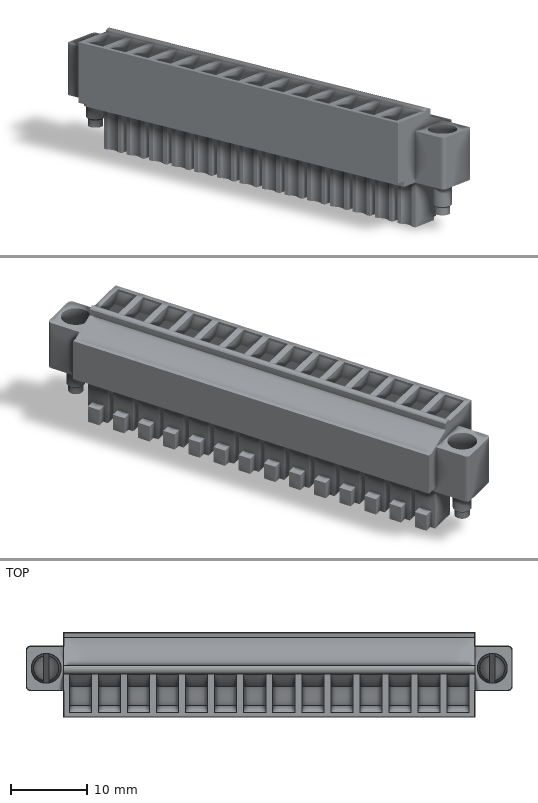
import cadquery as cq

OVERALL_LENGTH = 63.73
POSITIONS = 14
PITCH = 3.81

HOUSING_END_MARGIN = 2.2
HOUSING_DEPTH = 11.1
UNDERSIDE_Z = 6.57
STEP_Z = 7.35
FRONT_STEP_DEPTH = 1.2
FRONT_TOP_Z = 15.7
BACK_TOP_Z = 13.35
BACK_LEDGE_DEPTH = 0.65
SLOPE_TOP_Y = 6.75
SLOPE_TOP_Z = 14.9

OVERALL_HEIGHT = 16.1
BEAD_RADIUS = 0.6
BEAD_Y = 6.25

POCKET_WIDTH = 2.9
POCKET_FRONT_Y = 0.6
POCKET_FLOOR_FRONT_Y = 1.55
POCKET_FLOOR_BACK_Y = 4.05
POCKET_BACK_Y = 5.57
POCKET_DEPTH = 1.85
POCKET_FRONT_RISE = 1.5

SLEEVE_WIDTH = 3.0
SLEEVE_FRONT_Y = 4.45
SLEEVE_BACK_Y = 8.35
GROOVE_WIDTH = 1.75
GROOVE_DEPTH = 0.32
TAB_WIDTH = 1.75
TAB_BACK_Y = 9.55
TAB_BOTTOM_Z = 0.15
TAB_TOP_Z = 2.55

EAR_FRONT_Y = 3.5
EAR_BACK_Y = 9.32
EAR_TOP_Z = 13.7
EAR_CORNER_RADIUS = 0.55

SCREW_OFFSET = 2.6
HEAD_DIAMETER = 3.9
HEAD_CHAMFER = 0.3
HEAD_BOTTOM_Z = 8.1
HEAD_TOP_Z = 10.1
SLOT_WIDTH = 0.75
SLOT_DEPTH = 0.8
SHANK_DIAMETER = 2.5
SHANK_BOTTOM_Z = 3.1
TIP_DIAMETER = 2.0
TIP_BOTTOM_Z = 2.1

ROW_LENGTH = (POSITIONS - 1) * PITCH
HOUSING_LENGTH = ROW_LENGTH + 2 * HOUSING_END_MARGIN
CONTACT_XS = [index * PITCH - ROW_LENGTH / 2 for index in range(POSITIONS)]
BEAD_Z = OVERALL_HEIGHT - BEAD_RADIUS
SCREW_X = OVERALL_LENGTH / 2 - SCREW_OFFSET
SCREW_Y = (EAR_FRONT_Y + EAR_BACK_Y) / 2
SIDES = (-1, 1)


def box(x_min, x_max, y_min, y_max, z_min, z_max):
    """Block between two opposite corners."""
    return cq.Workplane("XY").box(
        x_max - x_min, y_max - y_min, z_max - z_min, centered=False
    ).translate((x_min, y_min, z_min))


def rod(x, diameter, z_min, z_max):
    """Upright cylinder on the screw axis at x."""
    return (
        cq.Workplane("XY", origin=(x, SCREW_Y, z_min))
        .circle(diameter / 2)
        .extrude(z_max - z_min)
    )


def bar_along_x(points, x_center, length):
    """Prism along X from an outline of (y, z) points."""
    return (
        cq.Workplane("YZ", origin=(x_center - length / 2, 0, 0))
        .polyline(points)
        .close()
        .extrude(length)
    )


def housing_shell():
    """Stepped and sloped bar with the round bead along its top."""
    shell = bar_along_x(
        [
            (FRONT_STEP_DEPTH, UNDERSIDE_Z),
            (FRONT_STEP_DEPTH, STEP_Z),
            (0, STEP_Z),
            (0, FRONT_TOP_Z),
            (SLOPE_TOP_Y, FRONT_TOP_Z),
            (SLOPE_TOP_Y, SLOPE_TOP_Z),
            (HOUSING_DEPTH - BACK_LEDGE_DEPTH, BACK_TOP_Z),
            (HOUSING_DEPTH, BACK_TOP_Z),
            (HOUSING_DEPTH, STEP_Z),
            (EAR_BACK_Y, STEP_Z),
            (EAR_BACK_Y, UNDERSIDE_Z),
        ],
        0,
        HOUSING_LENGTH,
    )
    bead = (
        cq.Workplane("YZ", origin=(-HOUSING_LENGTH / 2, BEAD_Y, BEAD_Z))
        .circle(BEAD_RADIUS)
        .extrude(HOUSING_LENGTH)
    )
    behind_bead = box(
        -HOUSING_LENGTH / 2, HOUSING_LENGTH / 2,
        SLOPE_TOP_Y, HOUSING_DEPTH, SLOPE_TOP_Z, OVERALL_HEIGHT,
    )
    return shell.union(bead.cut(behind_bead))


def wire_pocket(x):
    """Pocket with a flat floor and sloped front and back ends."""
    floor_z = FRONT_TOP_Z - POCKET_DEPTH
    return bar_along_x(
        [
            (POCKET_FLOOR_FRONT_Y, floor_z),
            (POCKET_FLOOR_BACK_Y, floor_z),
            (POCKET_BACK_Y, FRONT_TOP_Z),
            (POCKET_BACK_Y, OVERALL_HEIGHT),
            (POCKET_FRONT_Y, OVERALL_HEIGHT),
            (POCKET_FRONT_Y, floor_z + POCKET_FRONT_RISE),
        ],
        x,
        POCKET_WIDTH,
    )


def contact_sleeve(x):
    """Hanging sleeve with a shallow round groove in front and a tab behind."""
    half_width = SLEEVE_WIDTH / 2
    half_groove = GROOVE_WIDTH / 2
    half_tab = TAB_WIDTH / 2
    groove_floor_y = SLEEVE_FRONT_Y + GROOVE_DEPTH
    body = (
        cq.Workplane("XY")
        .moveTo(x - half_width, SLEEVE_BACK_Y)
        .lineTo(x - half_width, SLEEVE_FRONT_Y)
        .lineTo(x - half_groove, SLEEVE_FRONT_Y)
        .threePointArc((x, groove_floor_y), (x + half_groove, SLEEVE_FRONT_Y))
        .lineTo(x + half_width, SLEEVE_FRONT_Y)
        .lineTo(x + half_width, SLEEVE_BACK_Y)
        .close()
        .extrude(UNDERSIDE_Z)
    )
    tab = box(x - half_tab, x + half_tab, SLEEVE_BACK_Y, TAB_BACK_Y, TAB_BOTTOM_Z, TAB_TOP_Z)
    return body.union(tab)


def mounting_ear(side):
    """Block at one end of the housing with its two outer upright edges rounded."""
    x_inner = side * HOUSING_LENGTH / 2
    x_outer = side * OVERALL_LENGTH / 2
    ear = box(
        min(x_inner, x_outer), max(x_inner, x_outer),
        EAR_FRONT_Y, EAR_BACK_Y, UNDERSIDE_Z, EAR_TOP_Z,
    )
    outer_edges = "|Z and >X" if side > 0 else "|Z and <X"
    return ear.edges(outer_edges).fillet(EAR_CORNER_RADIUS)


def screw_hole(side):
    """Counterbored hole that holds a screw."""
    x = side * SCREW_X
    clearance = rod(x, SHANK_DIAMETER, UNDERSIDE_Z, HEAD_BOTTOM_Z)
    counterbore = rod(x, HEAD_DIAMETER, HEAD_BOTTOM_Z, EAR_TOP_Z)
    return clearance.union(counterbore)


def make_housing():
    """Shell with its pockets, sleeves, ears and screw holes as one body."""
    housing = housing_shell()
    for x in CONTACT_XS:
        housing = housing.cut(wire_pocket(x)).union(contact_sleeve(x))
    for side in SIDES:
        housing = housing.union(mounting_ear(side)).cut(screw_hole(side))
    return housing


def make_screw(side):
    """Slotted screw with a chamfered head and a reduced tip."""
    x = side * SCREW_X
    tip_chamfer = (SHANK_DIAMETER - TIP_DIAMETER) / 2
    head = rod(x, HEAD_DIAMETER, HEAD_BOTTOM_Z, HEAD_TOP_Z).faces(">Z").chamfer(HEAD_CHAMFER)
    slot = box(
        x - SLOT_WIDTH / 2, x + SLOT_WIDTH / 2,
        SCREW_Y - HEAD_DIAMETER / 2, SCREW_Y + HEAD_DIAMETER / 2,
        HEAD_TOP_Z - SLOT_DEPTH, HEAD_TOP_Z,
    )
    shank = rod(x, SHANK_DIAMETER, SHANK_BOTTOM_Z, HEAD_BOTTOM_Z).faces("<Z").chamfer(tip_chamfer)
    tip = rod(x, TIP_DIAMETER, TIP_BOTTOM_Z, SHANK_BOTTOM_Z)
    return head.cut(slot).union(shank).union(tip)


housing = make_housing()
screws = [make_screw(side) for side in SIDES]

result = cq.Compound.makeCompound([housing.val(), *[screw.val() for screw in screws]])